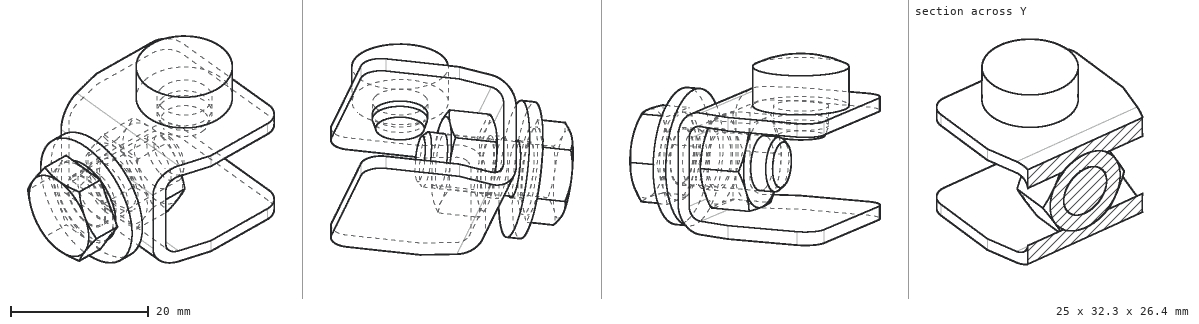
import cadquery as cq
import math


sheet = 2.0
bracket_width = 25.0
web_width = 20.1
bracket_length = 23.0
bracket_height = 18.0
outer_bend_radius = 2 * sheet
inner_bend_radius = outer_bend_radius - sheet
taper_length = 9.05
corner_radius = 3.0
bolt_clearance_diameter = 9.0

bolt_diameter = 8.0
bolt_tip_diameter = 6.65
bolt_tip_chamfer = 0.78
bolt_shank_length = 16.0
hex_across_flats = 13.0
hex_across_corners = hex_across_flats / math.cos(math.radians(30))
head_height = 5.3
head_collar_diameter = 12.9
head_collar_height = 0.6
head_chamfer_angle = 30
nut_height = 6.8
nut_chamfer_angle = 20

washer_diameter = 20.0
washer_bore = 8.4
washer_thickness = 2.0
washer_gap = 2.0

stud_y = 15.0
stud_head_diameter = 14.0
stud_head_height = 5.78
dome_height = 1.65
stud_pin_diameter = 8.0
stud_tip_diameter = 7.05
stud_tip_length = 1.52
stud_pin_projection = 2.4

flange_top = bracket_height / 2
washer_front = -(washer_gap + washer_thickness)
head_front = washer_front - head_height


def cylinder_y(diameter, start, end):
    """Cylinder on the bolt axis between two Y positions."""
    axis = cq.Vector(0, 1, 0)
    solid = cq.Solid.makeCylinder(diameter / 2, end - start, cq.Vector(0, start, 0), axis)
    return cq.Workplane(solid)


def hexagon_y(start, end):
    """Hexagonal prism on the bolt axis with two corners on the X axis."""
    return (
        cq.Workplane("XZ", origin=(0, end, 0))
        .polygon(6, hex_across_corners)
        .extrude(end - start)
    )


def corner_chamfer_envelope(start, end, angle, both_ends):
    """Turned shape that bevels the hexagon corners at the start, or at both ends."""
    flat_radius = hex_across_flats / 2
    tip_radius = hex_across_corners / 2
    depth = (tip_radius - flat_radius) * math.tan(math.radians(angle))
    outline = (
        cq.Workplane("XY")
        .moveTo(0, start)
        .lineTo(flat_radius, start)
        .lineTo(tip_radius, start + depth)
    )
    if both_ends:
        outline = outline.lineTo(tip_radius, end - depth).lineTo(flat_radius, end)
    else:
        outline = outline.lineTo(tip_radius, end)
    return outline.lineTo(0, end).close().revolve(360, (0, 0, 0), (0, 1, 0))


def make_nut():
    start = sheet
    end = sheet + nut_height
    envelope = corner_chamfer_envelope(start, end, nut_chamfer_angle, both_ends=True)
    return hexagon_y(start, end).intersect(envelope).cut(cylinder_y(bolt_diameter, start, end))


def make_bolt():
    hex_end = washer_front - head_collar_height
    envelope = corner_chamfer_envelope(head_front, hex_end, head_chamfer_angle, both_ends=False)
    head = hexagon_y(head_front, hex_end).intersect(envelope)
    collar = cylinder_y(head_collar_diameter, hex_end, washer_front)

    tip = washer_front + bolt_shank_length
    shank = (
        cq.Workplane("XY")
        .moveTo(0, washer_front)
        .lineTo(bolt_diameter / 2, washer_front)
        .lineTo(bolt_diameter / 2, tip - bolt_tip_chamfer)
        .lineTo(bolt_tip_diameter / 2, tip)
        .lineTo(0, tip)
        .close()
        .revolve(360, (0, 0, 0), (0, 1, 0))
    )
    return head.union(collar).union(shank)


def make_washer():
    back = -washer_gap
    bore = cylinder_y(washer_bore, washer_front, back)
    return cylinder_y(washer_diameter, washer_front, back).cut(bore)


def make_stud():
    """Domed head resting on the upper flange, with a tapered pin through it."""
    head_radius = stud_head_diameter / 2
    pin_radius = stud_pin_diameter / 2
    shoulder = flange_top + stud_head_height
    crown = shoulder + dome_height
    tip = flange_top - sheet - stud_pin_projection
    dome_radius = (head_radius**2 + dome_height**2) / (2 * dome_height)
    mid_radius = head_radius / 2
    mid_height = crown - dome_radius + math.sqrt(dome_radius**2 - mid_radius**2)
    return (
        cq.Workplane("XZ")
        .moveTo(0, tip)
        .lineTo(stud_tip_diameter / 2, tip)
        .lineTo(pin_radius, tip + stud_tip_length)
        .lineTo(pin_radius, flange_top)
        .lineTo(head_radius, flange_top)
        .lineTo(head_radius, shoulder)
        .threePointArc((mid_radius, mid_height), (0, crown))
        .close()
        .revolve(360, (0, 0, 0), (0, 1, 0))
        .translate((0, stud_y, 0))
    )


def make_bracket_blank():
    """Bent sheet trimmed to the tapered, round-cornered plan outline."""
    channel = (
        cq.Workplane("XY")
        .box(bracket_width, bracket_length, bracket_height)
        .translate((0, bracket_length / 2, 0))
        .edges("|X and <Y")
        .fillet(outer_bend_radius)
    )
    cavity = (
        cq.Workplane("XY")
        .box(bracket_width, bracket_length, bracket_height - 2 * sheet)
        .translate((0, sheet + bracket_length / 2, 0))
        .edges("|X and <Y")
        .fillet(inner_bend_radius)
    )
    plan = (
        cq.Workplane("XY")
        .polyline([
            (-web_width / 2, 0),
            (web_width / 2, 0),
            (bracket_width / 2, taper_length),
            (bracket_width / 2, bracket_length),
            (-bracket_width / 2, bracket_length),
            (-bracket_width / 2, taper_length),
        ])
        .close()
        .extrude(bracket_height / 2, both=True)
        .edges("|Z and >Y")
        .fillet(corner_radius)
    )
    return channel.cut(cavity).intersect(plan)


def make_bracket(nut, stud):
    """Bracket with its bolt hole, the stud hole and the nut's seat in the bends."""
    bolt_hole = cylinder_y(bolt_clearance_diameter, 0, sheet)
    return make_bracket_blank().cut(bolt_hole).cut(stud).cut(nut)


nut = make_nut()
bolt = make_bolt()
washer = make_washer()
stud = make_stud()
bracket = make_bracket(nut, stud)

result = cq.Compound.makeCompound([
    bracket.solids().val(),
    stud.solids().val(),
    bolt.solids().val(),
    washer.solids().val(),
    nut.solids().val(),
])